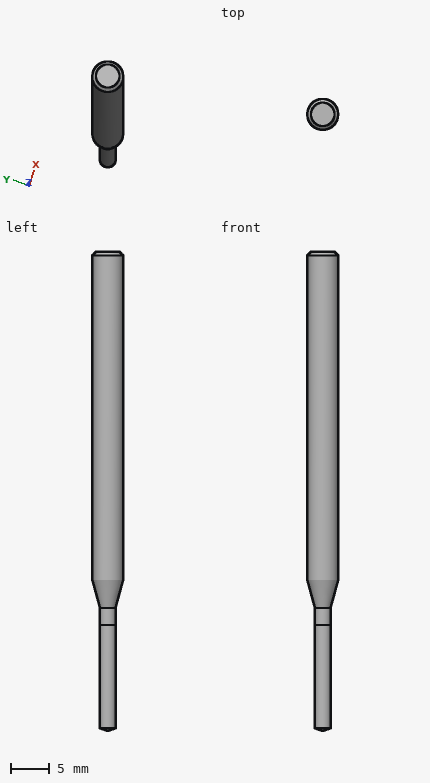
import cadquery as cq
import math

total_length = 62.0
shank_diameter = 4.0
drill_diameter = 2.1
point_angle = 140.0
cutting_length = 13.7
neck_end = 15.8
taper_start = 15.95
taper_small_diameter = 2.05
shank_start = 19.5
shank_chamfer = 0.5

shank_radius = shank_diameter / 2
drill_radius = drill_diameter / 2
point_height = drill_radius / math.tan(math.radians(point_angle / 2))


def revolve_about_z(profile):
    """Revolve a closed (radius, height) outline around the Z axis."""
    return cq.Workplane("XZ").polyline(profile).close().revolve(360, (0, 0), (0, 1))


def make_cutting_part():
    """Plain cylinder ending in a conical point at the origin."""
    return revolve_about_z([
        (0, 0),
        (drill_radius, point_height),
        (drill_radius, cutting_length),
        (0, cutting_length),
    ])


def make_shank():
    """Bevelled neck, taper and chamfered shank, seated on top of the cutting part."""
    return revolve_about_z([
        (0, cutting_length),
        (drill_radius, cutting_length),
        (drill_radius, neck_end),
        (taper_small_diameter / 2, taper_start),
        (shank_radius, shank_start),
        (shank_radius, total_length - shank_chamfer),
        (shank_radius - shank_chamfer, total_length),
        (0, total_length),
    ])


cutting_part = make_cutting_part()
shank = make_shank()

result = cq.Compound.makeCompound([cutting_part.val(), shank.val()])